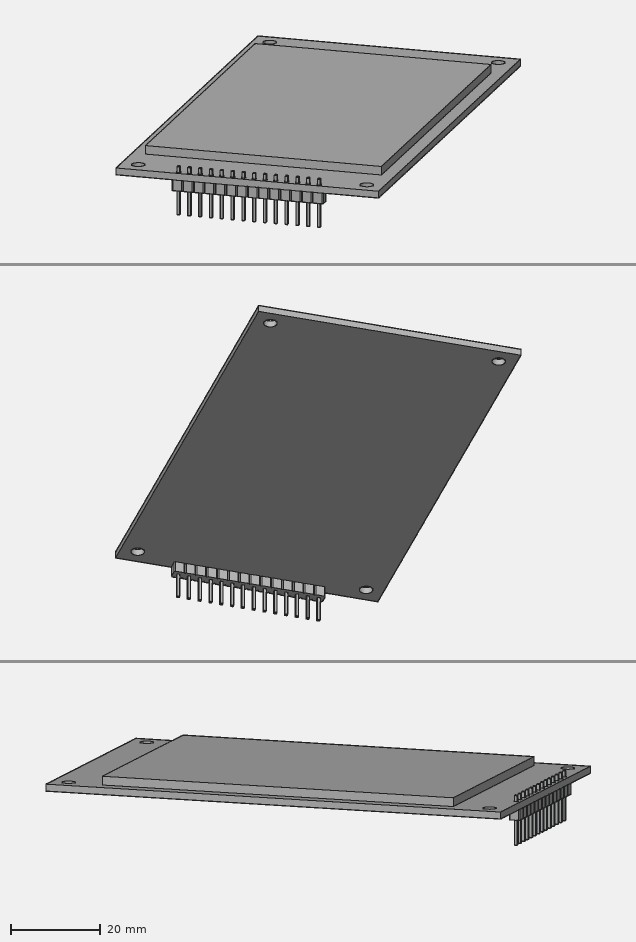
import cadquery as cq

BOARD_WIDTH = 61.7
BOARD_LENGTH = 108.0
BOARD_THICKNESS = 1.6

MOUNT_HOLE_DIAMETER = 3.0
MOUNT_HOLE_INSET = 4.0

SCREEN_WIDTH = 55.4
SCREEN_LENGTH = 83.4

PIN_COUNT = 14
HEADER_LENGTH = 35.5
PIN_PITCH = HEADER_LENGTH / PIN_COUNT
PIN_SIDE = 0.64
PIN_HOLE_DIAMETER = 1.0
PIN_TIP_CHAMFER = 0.14
PIN_TAIL = 5.9
PIN_RISE = 3.0
BLOCK_SIZE = PIN_PITCH
BLOCK_CHAMFER = 0.27

OVERALL_HEIGHT = 12.1
SCREEN_THICKNESS = OVERALL_HEIGHT - PIN_TAIL - BLOCK_SIZE - BOARD_THICKNESS

HEADER_Y = -BOARD_LENGTH / 2 + BLOCK_SIZE / 2
PIN_POSITIONS = [((i - (PIN_COUNT - 1) / 2) * PIN_PITCH, HEADER_Y) for i in range(PIN_COUNT)]


def make_display():
    """Board and screen in one piece, with mounting holes and pin holes."""
    board = cq.Workplane("XY").box(
        BOARD_WIDTH, BOARD_LENGTH, BOARD_THICKNESS, centered=(True, True, False)
    )
    screen = (
        cq.Workplane("XY", origin=(0, 0, BOARD_THICKNESS))
        .rect(SCREEN_WIDTH, SCREEN_LENGTH)
        .extrude(SCREEN_THICKNESS)
    )
    mount_holes = (
        cq.Workplane("XY")
        .rect(
            BOARD_WIDTH - 2 * MOUNT_HOLE_INSET,
            BOARD_LENGTH - 2 * MOUNT_HOLE_INSET,
            forConstruction=True,
        )
        .vertices()
        .circle(MOUNT_HOLE_DIAMETER / 2)
        .extrude(BOARD_THICKNESS)
    )
    pin_holes = (
        cq.Workplane("XY")
        .pushPoints(PIN_POSITIONS)
        .circle(PIN_HOLE_DIAMETER / 2)
        .extrude(BOARD_THICKNESS)
    )
    return board.union(screen).cut(mount_holes).cut(pin_holes)


def make_header():
    """Row of chamfered blocks, joined side to side, with a square, blunt-tipped pin through each."""
    block = (
        cq.Workplane("XY")
        .box(BLOCK_SIZE, BLOCK_SIZE, BLOCK_SIZE, centered=(True, True, False))
        .edges("|Z")
        .chamfer(BLOCK_CHAMFER)
        .translate((0, 0, -BLOCK_SIZE))
    )
    pin = (
        cq.Workplane("XY", origin=(0, 0, -BLOCK_SIZE - PIN_TAIL))
        .rect(PIN_SIDE, PIN_SIDE)
        .extrude(PIN_TAIL + BLOCK_SIZE + PIN_RISE)
        .faces(">Z or <Z")
        .chamfer(PIN_TIP_CHAMFER)
    )
    segment = block.union(pin)
    header = cq.Workplane("XY")
    for x, y in PIN_POSITIONS:
        header = header.union(segment.translate((x, y, 0)))
    return header


display = make_display()
header = make_header()

result = cq.Compound.makeCompound([display.val(), header.val()])